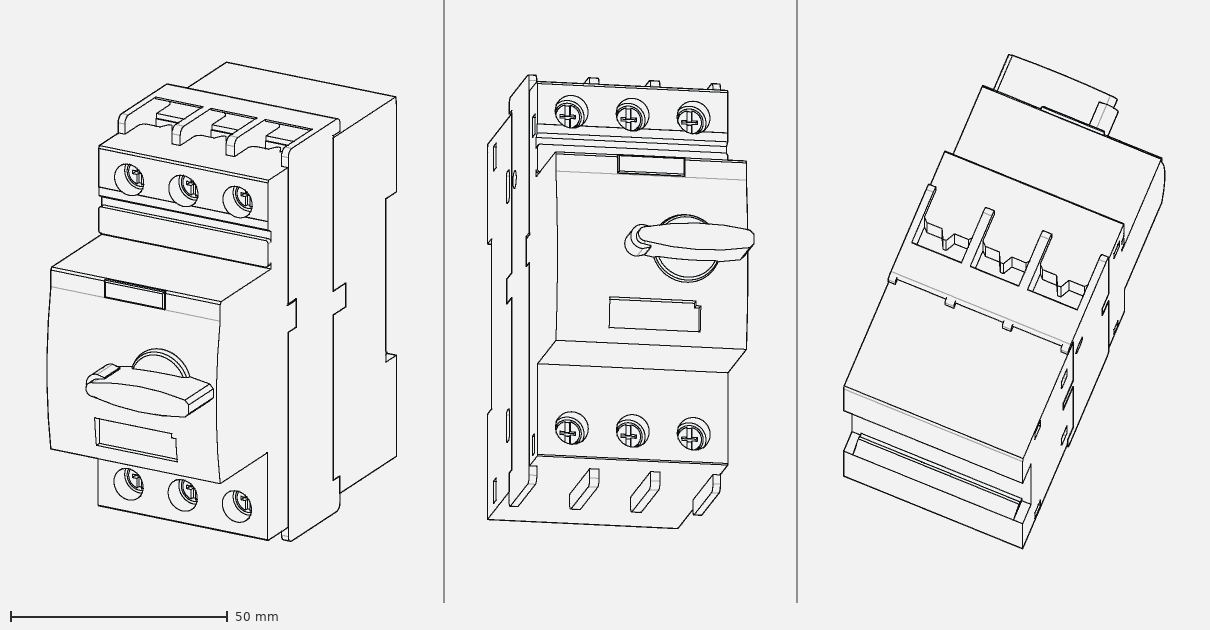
import cadquery as cq


HOUSING_WIDTH = 44.8
HOUSING_BOTTOM = 3.9
HOUSING_TOP = 93.2
REAR_LEAN = 0.3
REAR_LEAN_START = 91.3
TERMINAL_DEPTH = 60.8
LOWER_TERMINAL_DEPTH = 61.1
EDGE_CHAMFER_DEPTH = 0.3
EDGE_CHAMFER_HEIGHT = 0.6

RAIL_BOTTOM = 29.0
RAIL_TOP = 69.5
RAIL_DEPTH = 5.0
LOWER_HOOK_INSET = 2.3
UPPER_HOOK_INSET = 5.0
HOOK_FRONT = 3.9
UPPER_HOOK_REAR = 0.6
UPPER_HOOK_TIP_REAR = 1.7
UPPER_HOOK_TIP = 64.2
UPPER_HOOK_BEVEL = 1.1
LOWER_HOOK_TIP_REAR = 3.3
LOWER_HOOK_TIP = 32.1
LOWER_HOOK_STEP = 31.1

GROOVE_FLOOR_DEPTH = 59.4
GROOVE_TOP = 80.9
GROOVE_INNER_TOP = 80.1
LIP_TOP = 83.0
LIP_SETBACK = 0.1
RIDGE_TOP = 78.2
RIDGE_BOTTOM = 71.6
RIDGE_CORNER = 0.7

BOX_BOTTOM = 25.8
BOX_TOP = 70.8
BOX_EDGE_DEPTH = 83.45
BOX_CROWN_DEPTH = 85.3
BOX_CROWN_Z = 46.0
STRIP_BOTTOM = 66.1
STRIP_TOP = 70.2
BOX_TOP_DEPTH = 83.0
NAMEPLATE_WIDTH = 15.8
NAMEPLATE_DEPTH = 84.2
NAMEPLATE_BOTTOM = 66.3
NAMEPLATE_TOP = 70.65
NAMEPLATE_CHAMFER = 0.35

WINDOW_LEFT = -10.0
WINDOW_RIGHT = 11.4
WINDOW_BOTTOM = 29.3
WINDOW_TOP = 36.4
WINDOW_NOTCH = 1.1
WINDOW_FLOOR_DEPTH = 82.6

OVERALL_WIDTH = 45.0
OVERALL_HEIGHT = 97.4
BARRIER_REAR = 26.9
BARRIER_FRONT = 51.4
BARRIER_CORNER = 1.7
SIDE_REAR = 30.1
SIDE_WALL = 1.8
MIDDLE_WALL = 2.2
FLANGE_BOTTOM = 93.8
FOOT_TOP = 8.3
TAB_REAR = 24.1
TAB_BOTTOM = 49.3
TAB_TOP = 55.2
CATCH_DEPTH = 47.6
CATCH_BOTTOM = 52.3
CATCH_TOP = 59.4
CATCH_GAP = 0.4
COVER_THICKNESS = 0.4
COVER_FRONT = 36.8

POLE_PITCH = 14.33
POLE_XS = [-POLE_PITCH, 0, POLE_PITCH]
SCREW_ZS = [10.9, 86.3]
SCREW_HOLE_RADIUS = 3.85
SCREW_HOLE_LENGTH = 4.8
SCREW_SEAT_RADIUS = 3.2
SCREW_HEAD_RADIUS = 2.8
SCREW_HEAD_HEIGHT = 4.2
SLOT_LENGTH = 2 * SCREW_HEAD_RADIUS
SLOT_WIDTH = 1.2
CROSS_LENGTH = 3.6
CROSS_WIDTH = 0.8
SLOT_CUT = 1.0
CROSS_CUT = 1.5

OPENING_REAR = 36.75
OPENING_RIM_SETBACK = 0.35
OPENING_RIM_HEIGHT = 1.2
OPENING_FRONT = 43.4
OPENING_CORNER = 1.0
OPENING_CUT = 10.0
TOOTH_LENGTH = 2.2
TOOTH_BASE = 3.1
TOOTH_TIP = 0.8

SQUARE_POCKETS = [
    (7.3, 10.7, 5.9, 11.2),
    (7.3, 10.7, 85.1, 90.9),
    (54.8, 57.1, 5.5, 10.1),
    (54.8, 58.1, 81.3, 86.0),
]
ROUNDED_POCKETS = [
    (23.3, 26.7, 16.3, 23.8),
    (23.3, 26.7, 73.2, 80.7),
]
POCKET_CORNER = 0.8
POCKET_CUT = 0.9
SIDE_HOLE_DEPTH = 33.7
SIDE_HOLE_Z = 76.5
SIDE_HOLE_RADIUS = 2.05
SIDE_HOLE_CUT = 1.5

HANDLE_X = 7.85
HANDLE_Z = 48.7
DISC_RADIUS = 8.1
DISC_RIM_RADIUS = 7.75
DISC_FACE_RADIUS = 7.2
DISC_BASE_DEPTH = 85.0
DISC_RIM_DEPTH = 86.1
DISC_FACE_DEPTH = 86.6
DISC_CROWN_DEPTH = 87.15
DISC_BACK_DEPTH = 84.0
GRIP_BASE_DEPTH = 85.0
HANDLE_FRONT_DEPTH = 96.9
GRIP_LEFT = -5.6
GRIP_RIGHT = 21.6
GRIP_HALF_WIDTH = 3.15
GRIP_LEFT_HALF = 1.7
GRIP_RIGHT_HALF = 2.1
GRIP_CORNER = 1.0
LOCK_X = -4.05
LOCK_RADIUS = 2.87
LOCK_RIGHT = -2.15
LOCK_RIGHT_HALF = 2.4
LOCK_REAR = 87.0
LOCK_FRONT = 94.35


def side_plane(x=0.0):
    """Sketch plane facing -X: local x is depth, local y is Z."""
    return cq.Workplane(cq.Plane(origin=(x, 0, 0), xDir=(0, -1, 0), normal=(-1, 0, 0)))


def front_plane(depth):
    """Sketch plane facing -Y at a depth: local x is X, local y is Z."""
    return cq.Workplane(cq.Plane(origin=(0, -depth, 0), xDir=(1, 0, 0), normal=(0, -1, 0)))


def block(x_range, depth_range, z_range):
    """Box between pairs of X, depth and Z limits."""
    size = [high - low for low, high in (x_range, depth_range, z_range)]
    corner = (x_range[0], -depth_range[1], z_range[0])
    return cq.Workplane("XY").box(*size, centered=False).translate(corner)


def make_housing():
    """Main body: the side outline swept across the full housing width."""
    lip_depth = TERMINAL_DEPTH - LIP_SETBACK
    outline = (
        side_plane()
        .moveTo(0, HOUSING_BOTTOM)
        .lineTo(0, RAIL_BOTTOM)
        .lineTo(RAIL_DEPTH, RAIL_BOTTOM)
        .lineTo(RAIL_DEPTH, RAIL_TOP)
        .lineTo(0, RAIL_TOP)
        .lineTo(0, REAR_LEAN_START)
        .lineTo(REAR_LEAN, HOUSING_TOP)
        .lineTo(TERMINAL_DEPTH - EDGE_CHAMFER_DEPTH, HOUSING_TOP)
        .lineTo(TERMINAL_DEPTH, HOUSING_TOP - EDGE_CHAMFER_HEIGHT)
        .lineTo(TERMINAL_DEPTH, LIP_TOP)
        .lineTo(lip_depth, LIP_TOP)
        .lineTo(lip_depth, GROOVE_TOP)
        .lineTo(GROOVE_FLOOR_DEPTH, GROOVE_INNER_TOP)
        .lineTo(GROOVE_FLOOR_DEPTH, BOX_TOP)
        .lineTo(BOX_TOP_DEPTH, BOX_TOP)
        .lineTo(BOX_EDGE_DEPTH, STRIP_TOP)
        .lineTo(BOX_EDGE_DEPTH, STRIP_BOTTOM)
        .threePointArc((BOX_CROWN_DEPTH, BOX_CROWN_Z), (BOX_EDGE_DEPTH, BOX_BOTTOM))
        .lineTo(LOWER_TERMINAL_DEPTH, BOX_BOTTOM)
        .lineTo(LOWER_TERMINAL_DEPTH, HOUSING_BOTTOM + EDGE_CHAMFER_DEPTH)
        .lineTo(LOWER_TERMINAL_DEPTH - EDGE_CHAMFER_DEPTH, HOUSING_BOTTOM)
        .close()
    )
    return outline.extrude(HOUSING_WIDTH / 2, both=True)


def make_rail_hooks():
    """Upper and lower hooks that hold the mounting rail."""
    upper_half_width = HOUSING_WIDTH / 2 - UPPER_HOOK_INSET
    lower_half_width = HOUSING_WIDTH / 2 - LOWER_HOOK_INSET
    upper = [
        (UPPER_HOOK_REAR, RAIL_TOP),
        (UPPER_HOOK_TIP_REAR, UPPER_HOOK_TIP),
        (HOOK_FRONT - UPPER_HOOK_BEVEL, UPPER_HOOK_TIP),
        (HOOK_FRONT, UPPER_HOOK_TIP + UPPER_HOOK_BEVEL),
        (HOOK_FRONT, RAIL_TOP),
    ]
    lower = [
        (0, RAIL_BOTTOM),
        (LOWER_HOOK_TIP_REAR, LOWER_HOOK_TIP),
        (HOOK_FRONT, LOWER_HOOK_TIP),
        (HOOK_FRONT, LOWER_HOOK_STEP),
        (RAIL_DEPTH, LOWER_HOOK_STEP),
        (RAIL_DEPTH, RAIL_BOTTOM),
    ]
    hooks = side_plane().polyline(upper).close().extrude(upper_half_width, both=True)
    return hooks.union(side_plane().polyline(lower).close().extrude(lower_half_width, both=True))


def make_label_ridge():
    """Round-cornered ridge between the groove and the front box."""
    height = RIDGE_TOP - RIDGE_BOTTOM
    ridge = front_plane(GROOVE_FLOOR_DEPTH).center(0, RIDGE_BOTTOM + height / 2)
    ridge = ridge.rect(HOUSING_WIDTH, height).extrude(TERMINAL_DEPTH - GROOVE_FLOOR_DEPTH)
    return ridge.edges("|Y").fillet(RIDGE_CORNER)


def make_nameplate():
    """Raised plate in the middle of the strip above the curved front."""
    half_width = NAMEPLATE_WIDTH / 2
    plate = block(
        (-half_width, half_width),
        (BOX_TOP_DEPTH, NAMEPLATE_DEPTH),
        (NAMEPLATE_BOTTOM, NAMEPLATE_TOP),
    )
    return plate.faces("<Y").chamfer(NAMEPLATE_CHAMFER)


def make_window():
    """Cutter for the setting window, with a notch in its upper right corner."""
    outline = [
        (WINDOW_LEFT, WINDOW_BOTTOM),
        (WINDOW_RIGHT, WINDOW_BOTTOM),
        (WINDOW_RIGHT, WINDOW_TOP - WINDOW_NOTCH),
        (WINDOW_RIGHT - WINDOW_NOTCH, WINDOW_TOP - WINDOW_NOTCH),
        (WINDOW_RIGHT - WINDOW_NOTCH, WINDOW_TOP),
        (WINDOW_LEFT, WINDOW_TOP),
    ]
    reach = BOX_CROWN_DEPTH - WINDOW_FLOOR_DEPTH
    return front_plane(WINDOW_FLOOR_DEPTH).polyline(outline).close().extrude(reach)


def make_side_wall(x_right):
    """Outer barrier, standing slightly proud of the housing side; x_right is its right face."""
    wall = (
        side_plane(x_right)
        .moveTo(BARRIER_REAR, 0)
        .lineTo(BARRIER_REAR, FOOT_TOP)
        .lineTo(SIDE_REAR, FOOT_TOP)
        .lineTo(SIDE_REAR, TAB_BOTTOM)
        .lineTo(TAB_REAR, TAB_BOTTOM)
        .lineTo(TAB_REAR, TAB_TOP)
        .lineTo(SIDE_REAR, TAB_TOP)
        .lineTo(SIDE_REAR, FLANGE_BOTTOM)
        .lineTo(BARRIER_REAR, FLANGE_BOTTOM)
        .lineTo(BARRIER_REAR, OVERALL_HEIGHT)
        .lineTo(BARRIER_FRONT, OVERALL_HEIGHT)
        .lineTo(BARRIER_FRONT, CATCH_TOP)
        .lineTo(CATCH_DEPTH, CATCH_TOP)
        .lineTo(CATCH_DEPTH, CATCH_BOTTOM)
        .lineTo(BARRIER_FRONT, CATCH_BOTTOM)
        .lineTo(BARRIER_FRONT, 0)
        .close()
        .extrude(SIDE_WALL)
    )
    return wall.faces(">Z or <Z").edges("|X").fillet(BARRIER_CORNER)


def make_fin_parts(x_center):
    """Pieces of the fin between two poles, above and below the housing."""
    x_range = (x_center - MIDDLE_WALL / 2, x_center + MIDDLE_WALL / 2)
    depth_range = (BARRIER_REAR, BARRIER_FRONT)
    upper = block(x_range, depth_range, (FLANGE_BOTTOM, OVERALL_HEIGHT))
    upper = upper.faces(">Z").edges("|X").fillet(BARRIER_CORNER)
    root = block(x_range, (SIDE_REAR, BARRIER_FRONT), (HOUSING_TOP, FLANGE_BOTTOM))
    lower = block(x_range, depth_range, (0, HOUSING_BOTTOM))
    lower = lower.faces("<Z").edges("|X").fillet(BARRIER_CORNER)
    return [upper, root, lower]


def make_cover():
    """Thin sheet bridging the barriers; its rear edge follows their rounding."""
    x_range = (SIDE_WALL - OVERALL_WIDTH / 2, OVERALL_WIDTH / 2 - SIDE_WALL)
    depth_range = (BARRIER_REAR, COVER_FRONT)
    rounded = block(x_range, depth_range, (FLANGE_BOTTOM, OVERALL_HEIGHT))
    rounded = rounded.edges(">Y and >Z").fillet(BARRIER_CORNER)
    return rounded.cut(block(x_range, depth_range, (FLANGE_BOTTOM, OVERALL_HEIGHT - COVER_THICKNESS)))


def make_barriers():
    """Two side walls, the fins between the poles and the sheet across the top."""
    half_width = OVERALL_WIDTH / 2
    barriers = make_side_wall(half_width).union(make_side_wall(SIDE_WALL - half_width))
    for x in (-POLE_PITCH / 2, POLE_PITCH / 2):
        for piece in make_fin_parts(x):
            barriers = barriers.union(piece)
    return barriers.union(make_cover())


def make_catch_gap():
    """Cutter for the narrow slit above the catch, open through both sides."""
    half_width = OVERALL_WIDTH / 2
    return block(
        (-half_width, half_width),
        (CATCH_DEPTH, BARRIER_FRONT),
        (CATCH_TOP - CATCH_GAP, CATCH_TOP),
    )


def make_wire_opening(x_center, left, right):
    """Cutter for one wire opening with a blunt tooth on its front edge."""
    tooth_base = TOOTH_BASE / 2
    tooth_tip = TOOTH_TIP / 2
    outline = [
        (left, -OPENING_REAR),
        (right, -OPENING_REAR),
        (right, -OPENING_FRONT - OPENING_CORNER),
        (right - OPENING_CORNER, -OPENING_FRONT),
        (x_center + tooth_base, -OPENING_FRONT),
        (x_center + tooth_tip, -OPENING_FRONT + TOOTH_LENGTH),
        (x_center - tooth_tip, -OPENING_FRONT + TOOTH_LENGTH),
        (x_center - tooth_base, -OPENING_FRONT),
        (left + OPENING_CORNER, -OPENING_FRONT),
        (left, -OPENING_FRONT - OPENING_CORNER),
    ]
    floor = cq.Workplane("XY").workplane(offset=HOUSING_TOP - OPENING_CUT)
    opening = floor.polyline(outline).close().extrude(OPENING_CUT)
    rim = block(
        (left, right),
        (OPENING_REAR - OPENING_RIM_SETBACK, OPENING_REAR),
        (HOUSING_TOP - OPENING_RIM_HEIGHT, HOUSING_TOP),
    )
    return opening.union(rim)


def make_wire_openings():
    """One opening per pole, filling the space between its barriers."""
    side = OVERALL_WIDTH / 2 - SIDE_WALL
    fin_near = (POLE_PITCH - MIDDLE_WALL) / 2
    fin_far = (POLE_PITCH + MIDDLE_WALL) / 2
    limits = [(-side, -fin_far), (-fin_near, fin_near), (fin_far, side)]
    return [make_wire_opening(x, left, right) for x, (left, right) in zip(POLE_XS, limits)]


def make_screw_hole(x, z):
    """Cutter for a stepped terminal hole that leaves a cross-slotted screw head in its seat."""
    head_depth = TERMINAL_DEPTH - SCREW_HOLE_LENGTH
    seat_depth = head_depth - SCREW_HEAD_HEIGHT
    bore = front_plane(head_depth).center(x, z).circle(SCREW_HOLE_RADIUS)
    bore = bore.extrude(LOWER_TERMINAL_DEPTH - head_depth)
    seat = front_plane(seat_depth).center(x, z).circle(SCREW_SEAT_RADIUS).extrude(SCREW_HEAD_HEIGHT)
    head = front_plane(seat_depth).center(x, z).circle(SCREW_HEAD_RADIUS).extrude(SCREW_HEAD_HEIGHT)
    upright = front_plane(head_depth - SLOT_CUT).center(x, z)
    upright = upright.rect(SLOT_WIDTH, SLOT_LENGTH).extrude(SLOT_CUT)
    level = front_plane(head_depth - CROSS_CUT).center(x, z)
    level = level.rect(CROSS_LENGTH, CROSS_WIDTH).extrude(CROSS_CUT)
    return bore.union(seat.cut(head.cut(upright).cut(level)))


def make_side_marks():
    """Cutters for the shallow pockets and the round blind hole in the left side."""
    hole = side_plane(SIDE_HOLE_CUT - OVERALL_WIDTH / 2).center(SIDE_HOLE_DEPTH, SIDE_HOLE_Z)
    marks = hole.circle(SIDE_HOLE_RADIUS).extrude(SIDE_HOLE_CUT)
    pocket_x = (-HOUSING_WIDTH / 2, POCKET_CUT - HOUSING_WIDTH / 2)
    for rear, front, bottom, top in SQUARE_POCKETS:
        marks = marks.union(block(pocket_x, (rear, front), (bottom, top)))
    for rear, front, bottom, top in ROUNDED_POCKETS:
        pocket = block(pocket_x, (rear, front), (bottom, top))
        marks = marks.union(pocket.edges("|X").fillet(POCKET_CORNER))
    return marks


def make_dial():
    """Round dial with a bevelled rim and a slightly domed face."""
    dome_rise = (DISC_CROWN_DEPTH - DISC_FACE_DEPTH) * 3 / 4
    half_section = (
        cq.Workplane("XY", origin=(HANDLE_X, 0, HANDLE_Z))
        .moveTo(0, -DISC_BACK_DEPTH)
        .lineTo(DISC_RADIUS, -DISC_BACK_DEPTH)
        .lineTo(DISC_RADIUS, -DISC_BASE_DEPTH)
        .lineTo(DISC_RIM_RADIUS, -DISC_RIM_DEPTH)
        .lineTo(DISC_FACE_RADIUS, -DISC_FACE_DEPTH)
        .threePointArc((DISC_FACE_RADIUS / 2, -DISC_FACE_DEPTH - dome_rise), (0, -DISC_CROWN_DEPTH))
        .close()
    )
    return half_section.revolve(360, (0, 0, 0), (0, 1, 0))


def make_grip():
    """Lens-shaped grip bar across the dial."""
    left = GRIP_LEFT + GRIP_LEFT_HALF
    right = GRIP_RIGHT - GRIP_CORNER
    middle = (left + right) / 2
    outline = (
        front_plane(GRIP_BASE_DEPTH)
        .center(0, HANDLE_Z)
        .moveTo(left, GRIP_LEFT_HALF)
        .threePointArc((middle, GRIP_HALF_WIDTH), (right, GRIP_RIGHT_HALF))
        .lineTo(GRIP_RIGHT, GRIP_RIGHT_HALF - GRIP_CORNER)
        .lineTo(GRIP_RIGHT, GRIP_CORNER - GRIP_RIGHT_HALF)
        .lineTo(right, -GRIP_RIGHT_HALF)
        .threePointArc((middle, -GRIP_HALF_WIDTH), (left, -GRIP_LEFT_HALF))
        .threePointArc((GRIP_LEFT, 0), (left, GRIP_LEFT_HALF))
        .close()
    )
    return outline.extrude(HANDLE_FRONT_DEPTH - GRIP_BASE_DEPTH)


def make_lock():
    """Padlock sleeve around the grip's left end: half round, then tapering to the right."""
    outline = (
        front_plane(LOCK_REAR)
        .center(LOCK_X, HANDLE_Z)
        .moveTo(0, LOCK_RADIUS)
        .lineTo(LOCK_RIGHT - LOCK_X, LOCK_RIGHT_HALF)
        .lineTo(LOCK_RIGHT - LOCK_X, -LOCK_RIGHT_HALF)
        .lineTo(0, -LOCK_RADIUS)
        .threePointArc((-LOCK_RADIUS, 0), (0, LOCK_RADIUS))
        .close()
    )
    return outline.extrude(LOCK_FRONT - LOCK_REAR)


result = make_housing().union(make_rail_hooks()).union(make_label_ridge()).union(make_nameplate())
result = result.union(make_barriers()).cut(make_window()).cut(make_catch_gap())
result = result.cut(make_side_marks())
for wire_opening in make_wire_openings():
    result = result.cut(wire_opening)
for pole_x in POLE_XS:
    for screw_z in SCREW_ZS:
        result = result.cut(make_screw_hole(pole_x, screw_z))
result = result.union(make_dial()).union(make_grip()).union(make_lock())